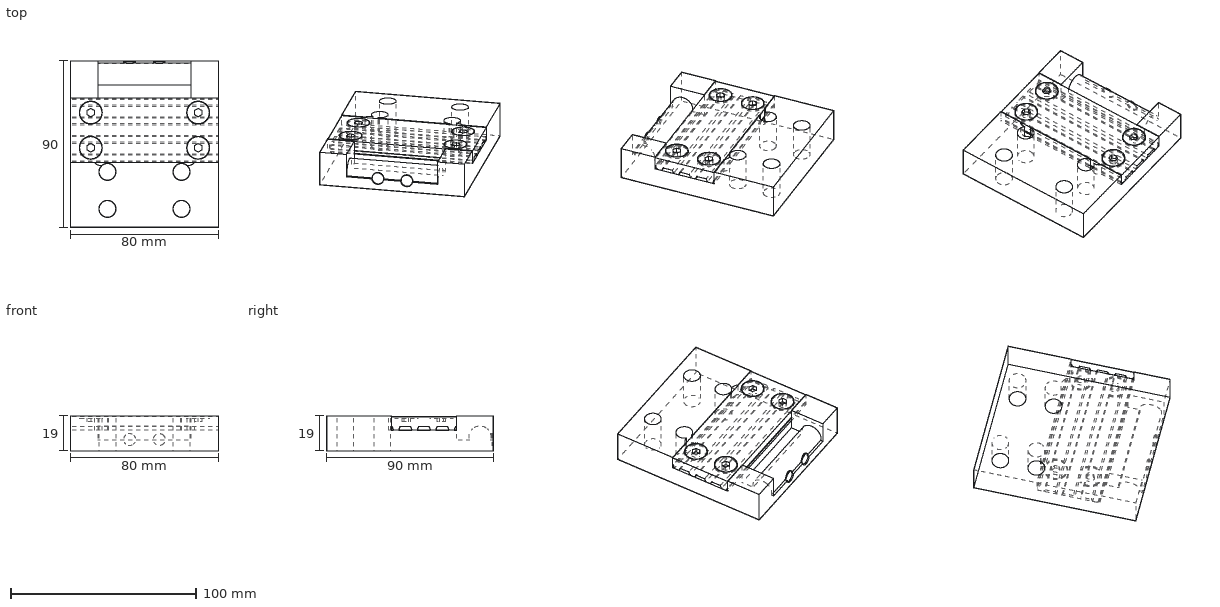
import cadquery as cq
import math

WIDTH = 80.0
LENGTH = 90.0
HEIGHT = 19.0
BACK_Y = LENGTH / 2
FRONT_Y = -LENGTH / 2

CHANNEL_FRONT_Y = -10.0
CHANNEL_LENGTH = 35.0
CHANNEL_BACK_Y = CHANNEL_FRONT_Y + CHANNEL_LENGTH
CHANNEL_MID_Y = (CHANNEL_FRONT_Y + CHANNEL_BACK_Y) / 2
CHANNEL_FLOOR_Z = 11.4

OPENING_WIDTH = 50.4
OPENING_FLOOR_Z = 6.0
ROD_DIAMETER = 12.0
ROD_Y = 37.8
ROD_Z = 7.6

PIN_DIAMETER = 6.4
PIN_SPACING = 16.0
PIN_Z = 6.3
PIN_RECESS = 0.75

MOUNT_DIAMETER = 9.0
MOUNT_X = 20.0
MOUNT_PITCH_Y = 20.0
MOUNT_REAR_Y = -15.0
RELIEF_DIAMETER = 10.0
RELIEF_X = 23.2
RELIEF_Y = -6.7

PLATE_TOP_Z = 18.65
TOOTH_PITCH = 10.0
GAP_COUNT = 5
GAP_HEIGHT = 1.9
GAP_MOUTH = 7.0
GAP_FLANK_ANGLE = 20.0

SCREW_PITCH_X = 58.0
SCREW_PITCH_Y = 19.0
HEAD_DIAMETER = 12.0
COUNTERBORE_DIAMETER = 12.4
RING_DEPTH = 1.0
HEX_ACROSS_FLATS = 4.0
HEX_DEPTH = 2.5


def box(x_size, y_min, y_max, z_min, z_max):
    """Box centred on X = 0 between the given Y and Z limits."""
    return cq.Workplane("XY", origin=(0, y_min, z_min)).box(
        x_size, y_max - y_min, z_max - z_min, centered=(True, False, False)
    )


def y_cylinders(diameter, y_min, y_max):
    """Pair of cylinders along Y at the pin positions."""
    return (
        cq.Workplane("XZ", origin=(0, y_min, PIN_Z))
        .pushPoints([(-PIN_SPACING / 2, 0), (PIN_SPACING / 2, 0)])
        .circle(diameter / 2)
        .extrude(y_min - y_max)
    )


def make_base():
    base = box(WIDTH, FRONT_Y, BACK_Y, 0, HEIGHT)
    base = base.cut(box(WIDTH, CHANNEL_FRONT_Y, CHANNEL_BACK_Y, CHANNEL_FLOOR_Z, HEIGHT))
    base = base.cut(box(OPENING_WIDTH, CHANNEL_BACK_Y, BACK_Y, OPENING_FLOOR_Z, HEIGHT))

    rod = (
        cq.Workplane("YZ", origin=(-OPENING_WIDTH / 2, 0, 0))
        .center(ROD_Y, ROD_Z)
        .circle(ROD_DIAMETER / 2)
        .extrude(OPENING_WIDTH)
    )
    base = base.union(rod)

    pin_end_y = BACK_Y - PIN_RECESS
    base = base.union(y_cylinders(PIN_DIAMETER, ROD_Y, pin_end_y))
    base = base.cut(y_cylinders(PIN_DIAMETER, pin_end_y, BACK_Y))

    mount_points = [(x, MOUNT_REAR_Y - row * MOUNT_PITCH_Y) for x in (-MOUNT_X, MOUNT_X) for row in range(2)]
    base = base.cut(cq.Workplane("XY").pushPoints(mount_points).circle(MOUNT_DIAMETER / 2).extrude(HEIGHT))

    reliefs = (
        cq.Workplane("XY", origin=(0, 0, CHANNEL_FLOOR_Z))
        .pushPoints([(-RELIEF_X, RELIEF_Y), (RELIEF_X, RELIEF_Y)])
        .circle(RELIEF_DIAMETER / 2)
        .extrude(HEIGHT - CHANNEL_FLOOR_Z)
    )
    return base.cut(reliefs)


def make_tooth_gap(y):
    """Trapezoidal belt-tooth groove across the plate's underside."""
    half_mouth = GAP_MOUTH / 2
    half_root = half_mouth - GAP_HEIGHT * math.tan(math.radians(GAP_FLANK_ANGLE))
    root_z = CHANNEL_FLOOR_Z + GAP_HEIGHT
    return (
        cq.Workplane("YZ", origin=(-WIDTH / 2, 0, 0))
        .polyline(
            [
                (y - half_mouth, CHANNEL_FLOOR_Z),
                (y + half_mouth, CHANNEL_FLOOR_Z),
                (y + half_root, root_z),
                (y - half_root, root_z),
            ]
        )
        .close()
        .extrude(WIDTH)
    )


def make_clamp_plate():
    plate = box(WIDTH, CHANNEL_FRONT_Y, CHANNEL_BACK_Y, CHANNEL_FLOOR_Z, PLATE_TOP_Z)
    for index in range(GAP_COUNT):
        offset = (index - (GAP_COUNT - 1) / 2) * TOOTH_PITCH
        plate = plate.cut(make_tooth_gap(CHANNEL_MID_Y + offset))

    heads = cq.Workplane("XY", origin=(0, CHANNEL_MID_Y, PLATE_TOP_Z)).rarray(SCREW_PITCH_X, SCREW_PITCH_Y, 2, 2)
    rings = heads.circle(COUNTERBORE_DIAMETER / 2).circle(HEAD_DIAMETER / 2).extrude(-RING_DEPTH)
    hex_across_corners = HEX_ACROSS_FLATS / math.cos(math.radians(30))
    socket = cq.Workplane("XY").polygon(6, hex_across_corners).extrude(-HEX_DEPTH).rotate((0, 0, 0), (0, 0, 1), 30)
    sockets = heads.eachpoint(lambda place: socket.val().moved(place))
    return plate.cut(rings).cut(sockets)


base = make_base()
clamp_plate = make_clamp_plate()

result = cq.Compound.makeCompound([base.val(), clamp_plate.val()])